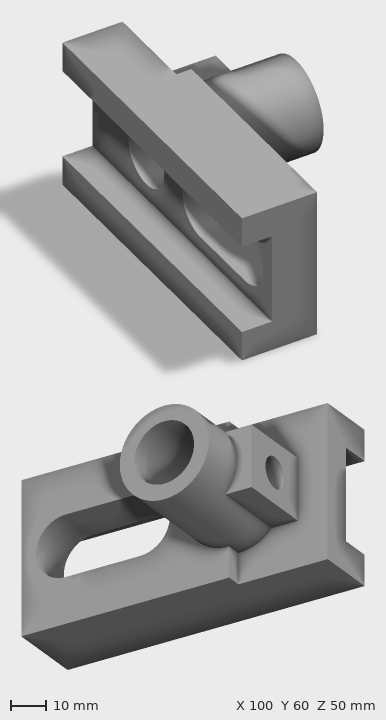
import cadquery as cq

length = 100.0
height = 50.0
thick_depth = 25.0
thin_depth = 20.0
channel_depth = 10.0
channel_height = 30.0
mid_z = height / 2

tube_x = 30.0
tube_diameter = 30.0
bore_diameter = 20.0
tube_end_y = 60.0

slot_start_x = 50.0
slot_end_x = 95.0
slot_width = 20.0

block_start_x = 10.0
block_end_y = 45.0
block_height = 20.0
screw_diameter = 10.0


def box(x_range, y_range, z_size):
    """Box spanning the given X and Y ranges, centred on mid height."""
    x_size = x_range[1] - x_range[0]
    y_size = y_range[1] - y_range[0]
    return (
        cq.Workplane("XY")
        .box(x_size, y_size, z_size, centered=(False, False, True))
        .translate((x_range[0], y_range[0], mid_z))
    )


def back_facing(x, y):
    """Sketch plane at mid height whose extrusions run toward +Y."""
    return cq.Workplane(cq.Plane(origin=(x, y, mid_z), xDir=(1, 0, 0), normal=(0, 1, 0)))


def make_plate():
    plate = box((0, tube_x), (0, thin_depth), height)
    plate = plate.union(box((tube_x, length), (0, thick_depth), height))
    plate = plate.cut(box((0, length), (0, channel_depth), channel_height))
    slot_length = slot_end_x - slot_start_x
    slot_x = (slot_start_x + slot_end_x) / 2
    slot = back_facing(slot_x, 0).slot2D(slot_length, slot_width).extrude(thick_depth)
    return plate.cut(slot)


def make_tube():
    tube_length = tube_end_y - thin_depth
    return back_facing(tube_x, thin_depth).circle(tube_diameter / 2).extrude(tube_length)


bore = back_facing(tube_x, 0).circle(bore_diameter / 2).extrude(tube_end_y)

screw_y = (thin_depth + block_end_y) / 2
screw_hole = (
    cq.Workplane("YZ", origin=(block_start_x, screw_y, mid_z))
    .circle(screw_diameter / 2)
    .extrude(tube_x - block_start_x)
)

block = box((block_start_x, tube_x), (thin_depth, block_end_y), block_height)

result = make_plate().union(make_tube()).union(block).cut(bore).cut(screw_hole)